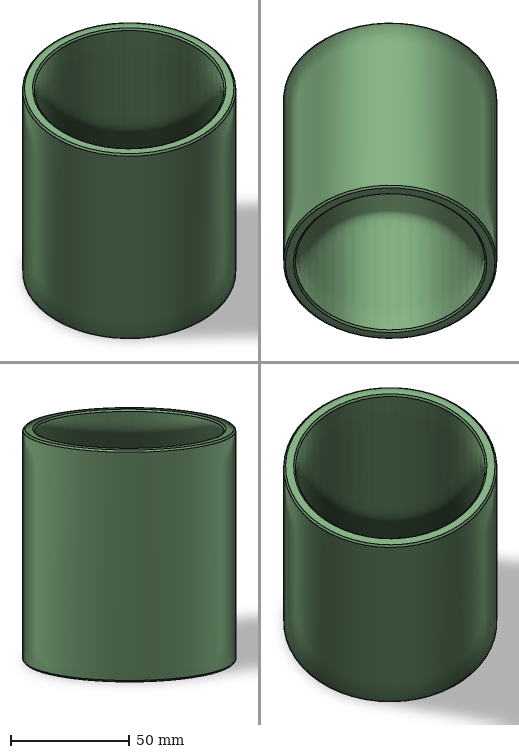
import cadquery as cq

outer_diameter = 90.0
bore_diameter = 80.0
length = 100.0
edge_chamfer = 0.8


def make_bushing():
    """Tube with the inner and outer rims of both ends chamfered."""
    tube = (
        cq.Workplane("XY")
        .circle(outer_diameter / 2)
        .circle(bore_diameter / 2)
        .extrude(length)
    )
    return tube.edges("%CIRCLE").chamfer(edge_chamfer)


result = make_bushing()